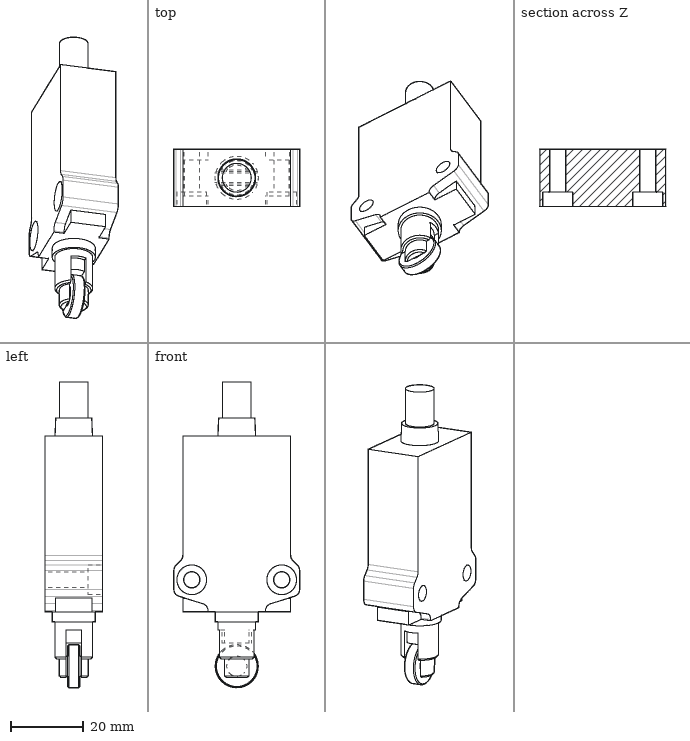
import cadquery as cq
import math

body_width = 30.0
body_depth = 16.0
body_height = 48.8

ear_half_width = 17.5
shoulder_z = 14.85
underside_z = 4.75
underside_angle = 17
nose_half_width = 8.0
ear_radius = 2.0
base_depth = 10.0
base_height = 3.8

hole_spacing = 25.0
hole_z = 8.9
hole_diameter = 4.4
counterbore_diameter = 8.2
counterbore_depth = 4.0

cable_diameter = 8.0
cable_length = 15.0
sleeve_base_diameter = 10.5
sleeve_top_diameter = 10.1
sleeve_height = 5.0

collar_diameter = 12.0
collar_height = 2.8
plunger_diameter = 10.5
plunger_length = 13.1
plunger_slot_top = -5.1
core_diameter = 8.1
core_length = 18.25
core_slot_top = -8.7
slot_width = 4.25
plunger_chamfer = 0.5

roller_diameter = 12.0
roller_width = 3.4
roller_chamfer = 0.3
roller_bottom = -21.05
roller_z = roller_bottom + roller_diameter / 2
pin_diameter = 5.6

body_half_width = body_width / 2
overlap = 0.4


def cylinder(diameter, z_low, z_high):
    return cq.Workplane("XY", origin=(0, 0, z_low)).circle(diameter / 2).extrude(z_high - z_low)


def cylinder_along_y(diameter, length):
    profile = cq.Workplane("XZ", origin=(0, 0, roller_z)).circle(diameter / 2)
    return profile.extrude(length / 2, both=True)


def make_housing():
    shoulder_drop = ear_half_width - body_half_width
    underside_drop = (ear_half_width - nose_half_width) * math.tan(math.radians(underside_angle))
    right_side = [
        (nose_half_width, 0),
        (nose_half_width, underside_z - underside_drop),
        (ear_half_width, underside_z),
        (ear_half_width, shoulder_z - shoulder_drop),
        (body_half_width, shoulder_z),
        (body_half_width, body_height),
    ]
    left_side = [(-x, z) for x, z in reversed(right_side)]
    housing = cq.Workplane("XZ").polyline(right_side + left_side).close()
    housing = housing.extrude(body_depth / 2, both=True)

    edge_margin = 0.4
    ear_zone = cq.selectors.BoxSelector(
        (-ear_half_width - edge_margin, -body_depth, edge_margin),
        (ear_half_width + edge_margin, body_depth, shoulder_z + edge_margin),
    )
    housing = housing.edges("|Y").edges(ear_zone).fillet(ear_radius)

    base = cq.Workplane("XY").box(body_width, base_depth, base_height, centered=(True, True, False))
    return housing.union(base)


def cut_mounting_holes(housing):
    front = cq.Workplane("XZ", origin=(0, -body_depth / 2, hole_z))
    centres = [(-hole_spacing / 2, 0), (hole_spacing / 2, 0)]
    holes = front.pushPoints(centres).circle(hole_diameter / 2).extrude(-body_depth)
    counterbores = front.pushPoints(centres).circle(counterbore_diameter / 2).extrude(-counterbore_depth)
    return housing.cut(holes).cut(counterbores)


def make_cable():
    sleeve = cq.Workplane("XY", origin=(0, 0, body_height)).circle(sleeve_base_diameter / 2)
    sleeve = sleeve.workplane(offset=sleeve_height).circle(sleeve_top_diameter / 2).loft(ruled=True)
    return cylinder(cable_diameter, body_height - overlap, body_height + cable_length).union(sleeve)


def slotted_cylinder(diameter, length, slot_top):
    """Chamfered cylinder hanging below the housing with a slot for the roller, open along X."""
    post = cylinder(diameter, -length, overlap).faces("<Z").chamfer(plunger_chamfer)
    slot_height = slot_top + length
    slot = cq.Workplane("XY", origin=(0, 0, -length)).box(
        2 * diameter, slot_width, slot_height, centered=(True, True, False)
    )
    return post.cut(slot)


def make_plunger():
    collar = cylinder(collar_diameter, -collar_height, overlap)
    outer = slotted_cylinder(plunger_diameter, plunger_length, plunger_slot_top)
    core = slotted_cylinder(core_diameter, core_length, core_slot_top)
    return collar.union(outer).union(core)


def make_roller():
    roller = cylinder_along_y(roller_diameter, roller_width).edges().chamfer(roller_chamfer)
    pin_length = slot_width + 2 * overlap
    return roller.union(cylinder_along_y(pin_diameter, pin_length))


housing = cut_mounting_holes(make_housing())
result = housing.union(make_cable()).union(make_plunger()).union(make_roller())